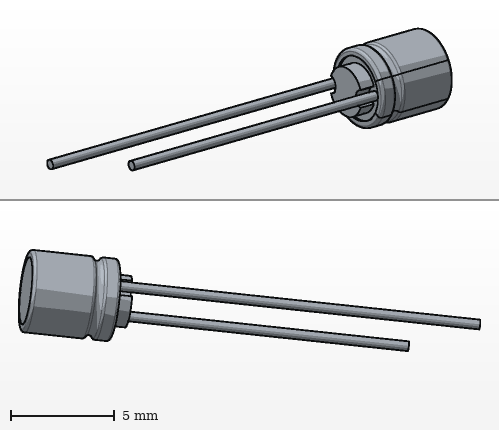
import cadquery as cq
import math

total_length = 22.0
sleeve_length = 4.3
sleeve_radius = 2.0
sleeve_bore_radius = 1.63
edge_radius = 0.15

groove_center = 1.01
groove_depth = 0.2
groove_floor_radius = 0.22

stripe_angle = 60.0

floor_recess = 0.1
boss_radius = 1.25
boss_projection = 0.7
scallop_radius = 0.46

lead_radius = 0.25
lead_offset = 1.25
long_lead_reach = total_length - sleeve_length
short_lead_reach = long_lead_reach - 3.01


def sleeve_sector(start_angle, sweep_angle):
    """Sleeve wall swept about Y, starting at start_angle from +X in the XZ plane."""
    center_distance = groove_floor_radius + edge_radius
    rise = center_distance - groove_depth
    tangent_angle = math.acos(rise / center_distance)
    groove_half_width = center_distance * math.sin(tangent_angle)
    floor_half_width = groove_floor_radius * math.sin(tangent_angle)
    groove_radius = sleeve_radius - groove_depth
    tangent_radius = groove_radius + groove_floor_radius * (1 - math.cos(tangent_angle))

    lip_radius = sleeve_radius - edge_radius * (1 - math.cos(tangent_angle / 2))
    lip_half_width = groove_half_width - edge_radius * math.sin(tangent_angle / 2)

    corner_inset = edge_radius * (1 - math.sqrt(0.5))

    profile = (
        cq.Workplane("XY")
        .moveTo(sleeve_bore_radius, 0)
        .lineTo(sleeve_radius - edge_radius, 0)
        .threePointArc((sleeve_radius - corner_inset, corner_inset), (sleeve_radius, edge_radius))
        .lineTo(sleeve_radius, groove_center - groove_half_width)
        .threePointArc(
            (lip_radius, groove_center - lip_half_width),
            (tangent_radius, groove_center - floor_half_width),
        )
        .threePointArc(
            (groove_radius, groove_center),
            (tangent_radius, groove_center + floor_half_width),
        )
        .threePointArc(
            (lip_radius, groove_center + lip_half_width),
            (sleeve_radius, groove_center + groove_half_width),
        )
        .lineTo(sleeve_radius, sleeve_length - edge_radius)
        .threePointArc(
            (sleeve_radius - corner_inset, sleeve_length - corner_inset),
            (sleeve_radius - edge_radius, sleeve_length),
        )
        .lineTo(sleeve_bore_radius, sleeve_length)
        .close()
    )
    sector = profile.revolve(sweep_angle, (0, 0, 0), (0, 1, 0))
    return sector.rotate((0, 0, 0), (0, 1, 0), start_angle)


def cylinder_along_y(radius, y_front, y_back, x_center=0.0):
    """Cylinder parallel to Y between two Y positions."""
    return (
        cq.Workplane("XZ", origin=(x_center, y_back, 0))
        .circle(radius)
        .extrude(y_back - y_front)
    )


def make_core():
    """Core filling the sleeve, with a boss scalloped around the leads."""
    boss = cylinder_along_y(boss_radius, -boss_projection, floor_recess)
    for side in (-1, 1):
        boss = boss.cut(
            cylinder_along_y(scallop_radius, -boss_projection, floor_recess, side * lead_offset)
        )
    return cylinder_along_y(sleeve_bore_radius, floor_recess, sleeve_length).union(boss)


def make_lead(side, reach):
    """Straight round lead standing on the recessed face of the core."""
    return cylinder_along_y(lead_radius, -reach, floor_recess, side * lead_offset)


stripe = sleeve_sector(-stripe_angle / 2, stripe_angle)
sleeve = sleeve_sector(stripe_angle / 2, 360 - stripe_angle)
core = make_core()
leads = [make_lead(side, reach).val() for side, reach in ((-1, long_lead_reach), (1, short_lead_reach))]

result = cq.Compound.makeCompound([sleeve.val(), stripe.val(), core.val(), *leads])